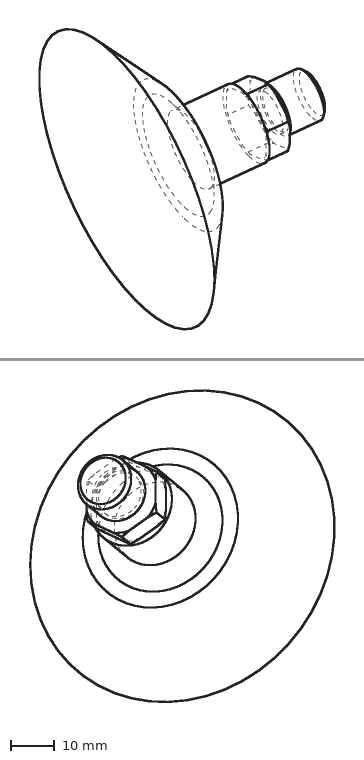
import cadquery as cq
import math

total_length = 50.5
lip_diameter = 75.0
cup_shoulder_diameter = 38.25
cup_height = 14.0
collar_base_diameter = 30.6
collar_height = 3.45
sleeve_diameter = 20.0
sleeve_length = 15.1
hex_across_flats = 17.0
hex_length = 6.45
hex_chamfer_radial = 0.9
hex_chamfer_axial = 0.5
neck_diameter = 11.0
neck_length = 1.5
thread_diameter = 13.1
thread_chamfer = 1.0

collar_top = cup_height + collar_height
sleeve_top = collar_top + sleeve_length
hex_top = sleeve_top + hex_length
thread_start = hex_top + neck_length


def revolve_profile(points):
    """Revolve a (radius, Y) outline about the Y axis."""
    outline = cq.Workplane("XY").polyline(points).close()
    return outline.revolve(360, (0, 0, 0), (0, 1, 0))


def make_cup_and_sleeve():
    sleeve_radius = sleeve_diameter / 2
    return revolve_profile([
        (0, 0),
        (lip_diameter / 2, 0),
        (cup_shoulder_diameter / 2, cup_height),
        (collar_base_diameter / 2, cup_height),
        (sleeve_radius, collar_top),
        (sleeve_radius, sleeve_top),
        (0, sleeve_top),
    ])


def make_hexagon():
    """Hexagon with corners on +Z and -Z, turned down at both ends."""
    corner_radius = hex_across_flats / 2 / math.cos(math.pi / 6)
    end_radius = corner_radius - hex_chamfer_radial
    prism = (
        cq.Workplane("XZ", origin=(0, sleeve_top, 0))
        .transformed(rotate=(0, 0, 90))
        .polygon(6, 2 * corner_radius)
        .extrude(-hex_length)
    )
    envelope = revolve_profile([
        (0, sleeve_top),
        (end_radius, sleeve_top),
        (corner_radius, sleeve_top + hex_chamfer_axial),
        (corner_radius, hex_top - hex_chamfer_axial),
        (end_radius, hex_top),
        (0, hex_top),
    ])
    return prism.intersect(envelope)


def make_threaded_stub():
    """Undercut neck and plain cylinder standing in for the thread."""
    neck_radius = neck_diameter / 2
    thread_radius = thread_diameter / 2
    return revolve_profile([
        (0, hex_top),
        (neck_radius, hex_top),
        (neck_radius, thread_start),
        (thread_radius, thread_start),
        (thread_radius, total_length - thread_chamfer),
        (thread_radius - thread_chamfer, total_length),
        (0, total_length),
    ])


result = make_cup_and_sleeve().union(make_hexagon()).union(make_threaded_stub())